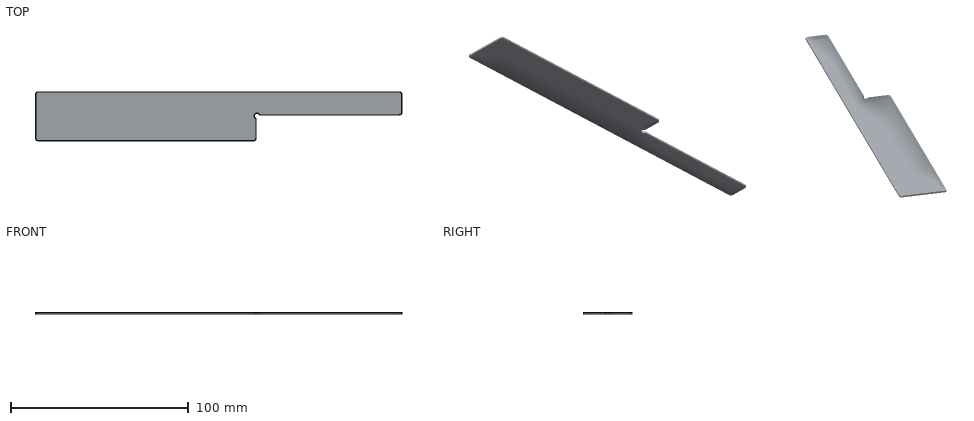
import cadquery as cq

LENGTH = 206.0
WIDTH = 27.5
THICKNESS = 1.0

BODY_LENGTH = 124.0
TONGUE_WIDTH = 13.0

CORNER_RADIUS = 1.5

RELIEF_RADIUS = 1.5
RELIEF_OFFSET = 0.5

X_LEFT = -LENGTH / 2
X_RIGHT = LENGTH / 2
Y_BOTTOM = -WIDTH / 2
Y_TOP = WIDTH / 2
X_STEP = X_LEFT + BODY_LENGTH
Y_STEP = Y_TOP - TONGUE_WIDTH


def stepped_plate():
    """Flat plate with a square-cornered L-shaped outline."""
    outline = [
        (X_LEFT, Y_BOTTOM),
        (X_STEP, Y_BOTTOM),
        (X_STEP, Y_STEP),
        (X_RIGHT, Y_STEP),
        (X_RIGHT, Y_TOP),
        (X_LEFT, Y_TOP),
    ]
    return cq.Workplane("XY").polyline(outline).close().extrude(THICKNESS)


def round_outer_corners(plate):
    """Round the five outer corners, leaving the inner corner of the step sharp."""
    end_corners = plate.faces("<X or >X").edges("|Z")
    step_corner = plate.faces("<Y").edges("|Z").edges(">X")
    return end_corners.add(step_corner).fillet(CORNER_RADIUS)


def corner_relief():
    """Round cutter that clears the inner corner of the step."""
    return (
        cq.Workplane("XY")
        .center(X_STEP + RELIEF_OFFSET, Y_STEP - RELIEF_OFFSET)
        .circle(RELIEF_RADIUS)
        .extrude(THICKNESS)
    )


result = round_outer_corners(stepped_plate()).cut(corner_relief())